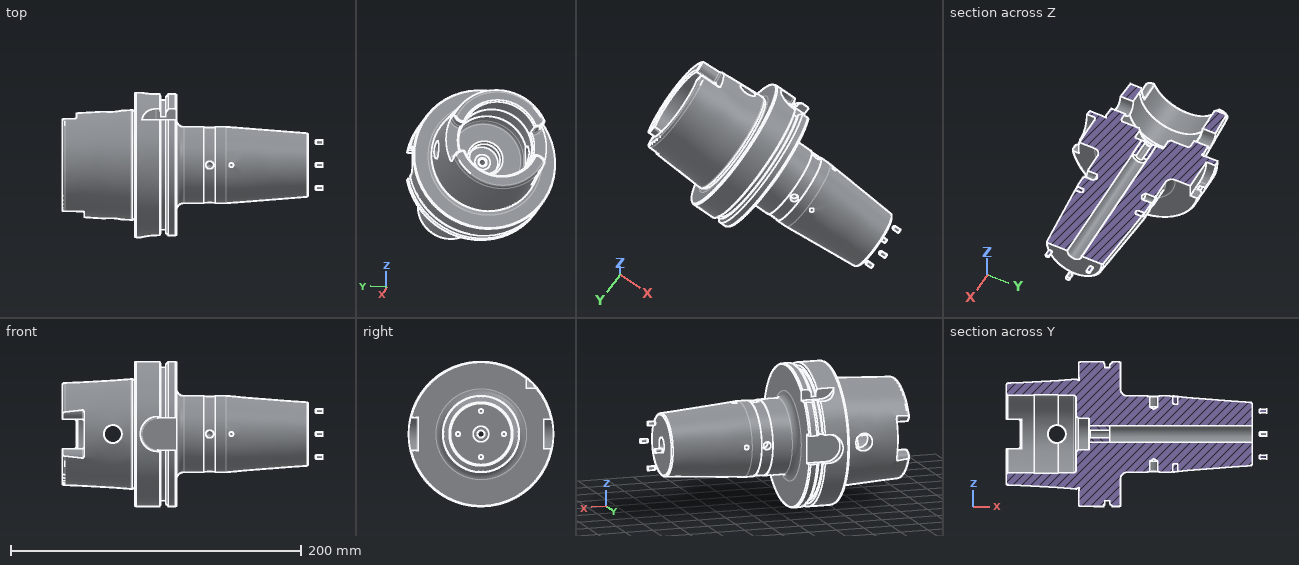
import cadquery as cq
import math


SHANK_LENGTH = 50.0
SHANK_TIP_RADIUS = 35.3
SHANK_ROOT_RADIUS = 38.0
SHANK_TIP_ROUND = 1.8
COLLAR_START = -2.7
COLLAR_END = -1.5
RELIEF_RADIUS = 37.0
RELIEF_OUTER_RADIUS = 40.1
RELIEF_DEPTH = 0.4

FLANGE_RADIUS = 50.0
FLANGE_WIDTH = 29.0
RIM_CHAMFER_LENGTH = 1.0
RIM_CHAMFER_HEIGHT = 0.5
GROOVE_START = 17.3
GROOVE_END = 23.4
GROOVE_FLOOR_START = 18.2
GROOVE_FLOOR_END = 21.5
GROOVE_FLOOR_RADIUS = 46.0
GROOVE_CHAMFER_HEIGHT = 2.0

NECK_ROOT_ROUND = 4.9
NECK_RADIUS = 26.5
BAND_RADIUS = 26.1
BAND_START = 47.7
BAND_END = 55.8
CONE_START = 63.0
NECK_END = 119.9
NECK_TIP_RADIUS = 22.0
NECK_TIP_CHAMFER = 0.9

CAVITY_RADIUS = 26.6
CAVITY_MOUTH_CHAMFER = 1.0
CAVITY_FLOOR = -1.8
CAVITY_FLOOR_ROUND = 1.8
UNDERCUT_RADIUS = 26.8
UNDERCUT_START = -30.6
UNDERCUT_END = -14.0
RECESS_RADIUS = 10.8
RECESS_DEPTH = 9.0
RECESS_CHAMFER = 1.6
PASSAGE_RADIUS = 5.4
RECESS_FLOOR = CAVITY_FLOOR + RECESS_DEPTH

CROSS_HOLE_X = -15.0
CROSS_HOLE_RADIUS = 6.1

SLOT_HALF_WIDTH = 10.0
SLOT_FLAT = 32.0
SLOT_CORNER_ROUND = 6.1
SLOT_FLOOR_ROUND = 1.3
SLOT_EDGE_CHAMFER_WIDTH = 0.9
SLOT_EDGE_CHAMFER_DEPTH = 0.5
FRONT_SLOT_DEPTH = 15.3
BACK_SLOT_DEPTH = 9.9

FRONT_POCKET_END_RADIUS = 12.0
FRONT_POCKET_HALF_WIDTH = 11.3
BACK_POCKET_HALF_WIDTH = 10.0
FRONT_POCKET_CENTRE_X = 16.0
BACK_POCKET_CENTRE_X = 14.8
POCKET_FLOOR_Y = 43.2
POCKET_FLOOR_ROUND = 1.0
NOTCH_FLOOR_Y = 31.3
NOTCH_LOWER_WALL_Z = 31.7

BALANCE_HOLE_X = 51.8
BALANCE_HOLE_RADIUS = 2.7
BALANCE_HOLE_DEPTH = 7.2
DRILL_POINT_ANGLE = 118.0

SCREW_RADIUS = 1.5
SCREW_LENGTH = 5.4
SCREW_CHAMFER = 0.7
CONE_SCREW_X = 66.8
END_SCREW_START = 124.5
END_SCREW_CIRCLE_RADIUS = 15.8
QUARTER_TURNS = [0, 90, 180, 270]

STOP_SCREW_LENGTH = 14.4
STOP_SCREW_BORE_RADIUS = 2.43
STOP_SCREW_BORE_CHAMFER = 0.7

CLEARANCE = 3.6
POCKET_OPEN_END = FLANGE_WIDTH + CLEARANCE
AXIS_START = (0, 0, 0)
AXIS_END = (1, 0, 0)


def rod(start_x, end_x, radius):
    """A cylinder around the X axis."""
    return cq.Workplane("YZ", origin=(start_x, 0, 0)).circle(radius).extrude(end_x - start_x)


def cone(start_x, end_x, start_radius, end_radius):
    """A truncated cone around the X axis."""
    start_circle = cq.Workplane("YZ", origin=(start_x, 0, 0)).circle(start_radius)
    return start_circle.workplane(offset=end_x - start_x).circle(end_radius).loft()


def cavity_mouth(start_x):
    """Cutting shape for the chamfer on the cavity edge of a face at start_x."""
    end_x = start_x + CAVITY_MOUTH_CHAMFER
    return cone(start_x, end_x, CAVITY_RADIUS + CAVITY_MOUTH_CHAMFER, CAVITY_RADIUS)


def turned_blank():
    """The outside of the housing: shank, flange and neck in one turning."""
    tip_x = -SHANK_LENGTH
    taper_slope = (SHANK_ROOT_RADIUS - SHANK_TIP_RADIUS) / (COLLAR_START - tip_x)
    round_end_radius = SHANK_TIP_RADIUS + taper_slope * SHANK_TIP_ROUND
    round_sag = SHANK_TIP_ROUND * (1 - math.sqrt(0.5))
    rim_edge = FLANGE_RADIUS - RIM_CHAMFER_HEIGHT
    groove_edge = FLANGE_RADIUS - GROOVE_CHAMFER_HEIGHT
    neck_round_sag = NECK_ROOT_ROUND * (1 - math.sqrt(0.5))
    profile = (
        cq.Workplane("XY")
        .moveTo(tip_x, 0)
        .lineTo(tip_x, round_end_radius - SHANK_TIP_ROUND)
        .threePointArc(
            (tip_x + round_sag, round_end_radius - round_sag),
            (tip_x + SHANK_TIP_ROUND, round_end_radius),
        )
        .lineTo(COLLAR_START, SHANK_ROOT_RADIUS)
        .lineTo(COLLAR_END, SHANK_ROOT_RADIUS)
        .lineTo(RELIEF_DEPTH, RELIEF_RADIUS)
        .lineTo(0, RELIEF_OUTER_RADIUS)
        .lineTo(0, rim_edge)
        .lineTo(RIM_CHAMFER_LENGTH, FLANGE_RADIUS)
        .lineTo(GROOVE_START, FLANGE_RADIUS)
        .lineTo(GROOVE_FLOOR_START, groove_edge)
        .lineTo(GROOVE_FLOOR_START, GROOVE_FLOOR_RADIUS)
        .lineTo(GROOVE_FLOOR_END, GROOVE_FLOOR_RADIUS)
        .lineTo(GROOVE_FLOOR_END, groove_edge)
        .lineTo(GROOVE_END, FLANGE_RADIUS)
        .lineTo(FLANGE_WIDTH - RIM_CHAMFER_LENGTH, FLANGE_RADIUS)
        .lineTo(FLANGE_WIDTH, rim_edge)
        .lineTo(FLANGE_WIDTH, NECK_RADIUS + NECK_ROOT_ROUND)
        .threePointArc(
            (FLANGE_WIDTH + neck_round_sag, NECK_RADIUS + neck_round_sag),
            (FLANGE_WIDTH + NECK_ROOT_ROUND, NECK_RADIUS),
        )
        .lineTo(BAND_START, NECK_RADIUS)
        .lineTo(BAND_START, BAND_RADIUS)
        .lineTo(BAND_END, BAND_RADIUS)
        .lineTo(BAND_END, NECK_RADIUS)
        .lineTo(CONE_START, NECK_RADIUS)
        .lineTo(NECK_END, NECK_TIP_RADIUS)
        .lineTo(NECK_END, 0)
        .close()
    )
    blank = profile.revolve(360, AXIS_START, AXIS_END)
    return blank.faces(">X").edges().chamfer(NECK_TIP_CHAMFER)


def cavity():
    """The hollow of the shank with its coolant recess, and the passage along the neck."""
    tip_x = -SHANK_LENGTH
    hollow = rod(tip_x - CLEARANCE, CAVITY_FLOOR, CAVITY_RADIUS)
    hollow = hollow.faces(">X").edges().fillet(CAVITY_FLOOR_ROUND)
    undercut = rod(UNDERCUT_START, UNDERCUT_END, UNDERCUT_RADIUS)
    mouth = cavity_mouth(tip_x)
    recess = rod(CAVITY_FLOOR - CLEARANCE, RECESS_FLOOR, RECESS_RADIUS)
    recess_mouth = cone(
        CAVITY_FLOOR, CAVITY_FLOOR + RECESS_CHAMFER, RECESS_RADIUS + RECESS_CHAMFER, RECESS_RADIUS
    )
    passage = rod(RECESS_FLOOR - CLEARANCE, NECK_END + CLEARANCE, PASSAGE_RADIUS)
    return hollow.union(undercut).union(mouth).union(recess).union(recess_mouth).union(passage)


def cross_hole():
    hole = cq.Workplane("XZ", origin=(CROSS_HOLE_X, 0, 0)).circle(CROSS_HOLE_RADIUS)
    return hole.extrude(FLANGE_RADIUS, both=True)


def slot_outline(start_x, side, growth):
    """Cross-section of a drive slot, widened by growth all along its edge."""
    wall_end = SLOT_FLAT - SLOT_CORNER_ROUND
    corner_height = SLOT_HALF_WIDTH + SLOT_CORNER_ROUND
    corner_radius = SLOT_CORNER_ROUND - growth
    corner_mid_y = side * (wall_end + corner_radius * math.sqrt(0.5))
    corner_mid_z = corner_height - corner_radius * math.sqrt(0.5)
    half_width = SLOT_HALF_WIDTH + growth
    flat_y = side * (SLOT_FLAT - growth)
    outside_y = side * FLANGE_RADIUS
    return (
        cq.Workplane("YZ", origin=(start_x, 0, 0))
        .moveTo(0, -half_width)
        .lineTo(side * wall_end, -half_width)
        .threePointArc((corner_mid_y, -corner_mid_z), (flat_y, -corner_height))
        .lineTo(flat_y, -FLANGE_RADIUS)
        .lineTo(outside_y, -FLANGE_RADIUS)
        .lineTo(outside_y, FLANGE_RADIUS)
        .lineTo(flat_y, FLANGE_RADIUS)
        .lineTo(flat_y, corner_height)
        .threePointArc((corner_mid_y, corner_mid_z), (side * wall_end, half_width))
        .lineTo(0, half_width)
        .close()
    )


def drive_slot(depth, side):
    """Slot with rounded corners and a flat on both sides of it; side is -1 or +1 along Y."""
    tip_x = -SHANK_LENGTH
    floor_x = tip_x + depth
    slot = slot_outline(tip_x, side, 0).extrude(depth)
    slot = slot.faces(">X").edges().fillet(SLOT_FLOOR_ROUND)

    wide_wire = slot_outline(tip_x, side, SLOT_EDGE_CHAMFER_WIDTH).val()
    slot_wire = slot_outline(tip_x + SLOT_EDGE_CHAMFER_DEPTH, side, 0).val()
    edge_chamfer = cq.Solid.makeLoft([wide_wire, slot_wire], True)

    slot_space = cq.Workplane("XY").box(SHANK_LENGTH, FLANGE_RADIUS, 2 * SLOT_HALF_WIDTH)
    slot_space = slot_space.translate((floor_x, side * FLANGE_RADIUS / 2, 0))
    floor_chamfer = cavity_mouth(floor_x).intersect(slot_space)
    return slot.union(cq.Workplane(edge_chamfer)).union(floor_chamfer)


def flange_pocket(centre_x, end_x, centre_z, half_width, floor_y, side):
    """Cutting shape with a semicircular end towards -X, from its floor outwards along Y."""
    outline = (
        cq.Workplane("XZ", origin=(0, side * floor_y, centre_z))
        .moveTo(end_x, -half_width)
        .lineTo(centre_x, -half_width)
        .threePointArc((centre_x - half_width, 0), (centre_x, half_width))
        .lineTo(end_x, half_width)
        .close()
    )
    return outline.extrude(-side * FLANGE_RADIUS)


def front_pocket():
    """The -Y pocket: a round end with a rounded floor edge, running out into a straight part."""
    centre_x = FRONT_POCKET_CENTRE_X
    round_end = flange_pocket(
        centre_x, GROOVE_FLOOR_START, 0, FRONT_POCKET_END_RADIUS, POCKET_FLOOR_Y, -1
    )
    round_end = round_end.faces(">Y").edges().fillet(POCKET_FLOOR_ROUND)
    straight = (
        cq.Workplane("XZ", origin=(0, -POCKET_FLOOR_Y, 0))
        .moveTo(centre_x, -FRONT_POCKET_HALF_WIDTH)
        .lineTo(POCKET_OPEN_END, -FRONT_POCKET_HALF_WIDTH)
        .lineTo(POCKET_OPEN_END, FRONT_POCKET_HALF_WIDTH)
        .lineTo(centre_x, FRONT_POCKET_HALF_WIDTH)
        .close()
        .extrude(FLANGE_RADIUS)
    )
    return round_end.union(straight)


def back_pocket():
    return flange_pocket(
        BACK_POCKET_CENTRE_X, POCKET_OPEN_END, 0, BACK_POCKET_HALF_WIDTH, POCKET_FLOOR_Y, 1
    )


def orientation_notch():
    centre_z = NOTCH_LOWER_WALL_Z + BACK_POCKET_HALF_WIDTH
    return flange_pocket(
        BACK_POCKET_CENTRE_X, POCKET_OPEN_END, centre_z, BACK_POCKET_HALF_WIDTH, NOTCH_FLOOR_Y, 1
    )


def balance_hole():
    """Drilled hole pointing up from its conical bottom along +Z."""
    half_angle = math.radians(DRILL_POINT_ANGLE / 2)
    floor_z = BAND_RADIUS - BALANCE_HOLE_DEPTH
    point_z = floor_z - BALANCE_HOLE_RADIUS / math.tan(half_angle)
    profile = (
        cq.Workplane("XZ", origin=(BALANCE_HOLE_X, 0, 0))
        .moveTo(0, point_z)
        .lineTo(BALANCE_HOLE_RADIUS, floor_z)
        .lineTo(BALANCE_HOLE_RADIUS, BAND_RADIUS + CLEARANCE)
        .lineTo(0, BAND_RADIUS + CLEARANCE)
        .close()
    )
    return profile.revolve(360, (0, 0, 0), (0, 1, 0))


def small_screw():
    """A headless screw along +Z, chamfered at its inner end, which lies at the origin."""
    screw = cq.Workplane("XY").circle(SCREW_RADIUS).extrude(SCREW_LENGTH)
    return screw.faces("<Z").edges().chamfer(SCREW_CHAMFER)


def around_axis(shape):
    """Copies of a shape at every quarter turn around the X axis."""
    return [shape.rotate(AXIS_START, AXIS_END, angle) for angle in QUARTER_TURNS]


def cone_screw():
    """The screw in the top of the neck, its outer end just below the cone."""
    cone_slope = (NECK_RADIUS - NECK_TIP_RADIUS) / (NECK_END - CONE_START)
    low_edge = NECK_RADIUS - cone_slope * (CONE_SCREW_X + SCREW_RADIUS - CONE_START)
    return small_screw().translate((CONE_SCREW_X, 0, low_edge - SCREW_LENGTH))


def cone_screw_hole():
    screw = cone_screw()
    mouth = cq.Workplane("XY", origin=(CONE_SCREW_X, 0, screw.val().BoundingBox().zmax))
    return screw.union(mouth.circle(SCREW_RADIUS).extrude(CLEARANCE))


def end_screw():
    """The free screw above the axis, its chamfered end towards the neck."""
    screw = small_screw().rotate((0, 0, 0), (0, 1, 0), 90)
    return screw.translate((END_SCREW_START, 0, END_SCREW_CIRCLE_RADIUS))


def stop_screw():
    """The drilled screw at the start of the passage."""
    end_x = RECESS_FLOOR + STOP_SCREW_LENGTH
    bore = rod(RECESS_FLOOR, end_x, STOP_SCREW_BORE_RADIUS)
    countersink = cone(
        RECESS_FLOOR,
        RECESS_FLOOR + STOP_SCREW_BORE_CHAMFER,
        STOP_SCREW_BORE_RADIUS + STOP_SCREW_BORE_CHAMFER,
        STOP_SCREW_BORE_RADIUS,
    )
    return rod(RECESS_FLOOR, end_x, PASSAGE_RADIUS).cut(bore).cut(countersink)


def housing():
    body = turned_blank().cut(cavity()).cut(cross_hole())
    body = body.cut(drive_slot(FRONT_SLOT_DEPTH, -1)).cut(drive_slot(BACK_SLOT_DEPTH, 1))
    body = body.cut(front_pocket()).cut(back_pocket()).cut(orientation_notch())
    for hole in around_axis(balance_hole()) + around_axis(cone_screw_hole()):
        body = body.cut(hole)
    return body


bodies = [housing(), stop_screw()] + around_axis(cone_screw()) + around_axis(end_screw())
result = cq.Compound.makeCompound([body.val() for body in bodies])